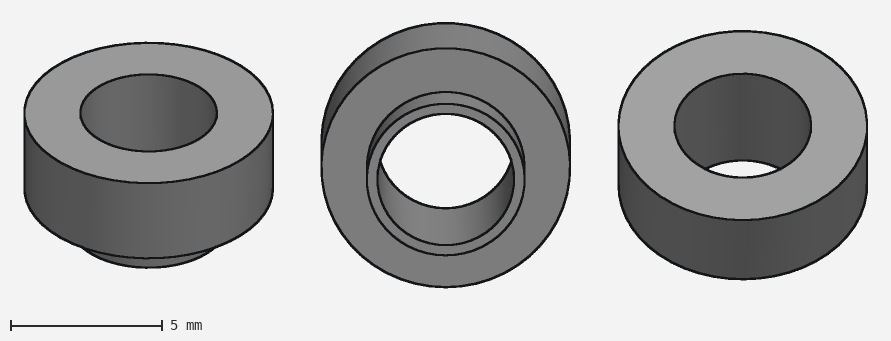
import cadquery as cq

head_diameter = 8.2
spigot_diameter = 5.2
bore_diameter = 4.5
total_height = 4.4
head_height = 3.0
spigot_height = total_height - head_height

spigot = cq.Workplane("XY").circle(spigot_diameter / 2).extrude(spigot_height)

head = (
    cq.Workplane("XY")
    .workplane(offset=spigot_height)
    .circle(head_diameter / 2)
    .extrude(head_height)
)

bore = cq.Workplane("XY").circle(bore_diameter / 2).extrude(total_height)

result = spigot.union(head).cut(bore)